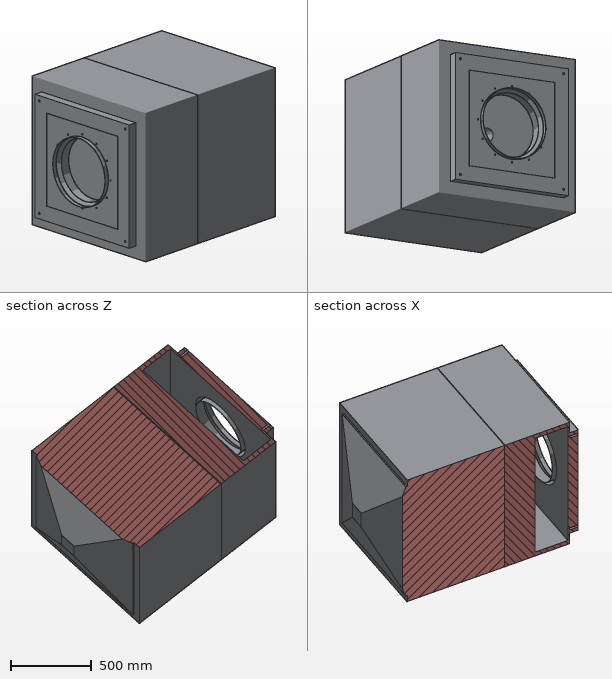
import cadquery as cq

housing_width = 980.0
front_length = 460.0
gap = 3.0
rear_length = 690.0
edge_radius = 3.0

chamber_width = 910.0
chamber_front_wall = 14.0
chamber_floor_depth = 244.0
dimple_radius = 42.0

base_width = 810.0
base_thickness = 60.0
base_hole_pitch = 739.0
base_hole_diameter = 13.0

sheet = 2.0
inlet_width = 611.0
collar_radius = 225.0
collar_length = 29.0
cone_depth = 24.0
throat_radius = 203.0
nozzle_length = 121.0
screw_count = 12
screw_circle_radius = 244.0
screw_diameter = 8.0

hood_rim_width = 878.0
hood_rim_height = 10.0
hood_top_width = 111.0
hood_height = 150.0

total_length = collar_length + base_thickness + front_length + gap + rear_length + hood_height
collar_front = -total_length / 2
base_front = collar_front + collar_length
housing_front = base_front + base_thickness
chamber_front = housing_front + chamber_front_wall
chamber_floor = housing_front + chamber_floor_depth
seam_front = housing_front + front_length
seam_back = seam_front + gap
housing_back = seam_back + rear_length
cone_front = base_front + sheet
cone_back = cone_front + cone_depth
nozzle_back = collar_front + nozzle_length


def section(y):
    """Plane across the Y axis, with X to the right, Z up and its normal toward -Y."""
    return cq.Workplane("XZ", origin=(0, y, 0))


def square_block(width, y_front, y_back):
    return section(y_back).rect(width, width).extrude(y_back - y_front)


def nozzle_shape(inset):
    """Solid of revolution about Y, lying inside the nozzle's outer surface by the inset."""
    collar = collar_radius - inset
    throat = throat_radius + sheet - inset
    return (
        cq.Workplane("XY")
        .moveTo(0, collar_front)
        .lineTo(collar, collar_front)
        .lineTo(collar, cone_front)
        .lineTo(throat, cone_back)
        .lineTo(throat, nozzle_back)
        .lineTo(0, nozzle_back)
        .close()
        .revolve(360, (0, 0, 0), (0, 1, 0))
    )


def make_rear_housing():
    box = square_block(housing_width, seam_back, housing_back)
    box = box.edges("|Y").fillet(edge_radius)
    rim_back = housing_back + hood_rim_height
    rim = square_block(hood_rim_width, housing_back, rim_back)
    slope = (
        section(rim_back)
        .rect(hood_rim_width, hood_rim_width)
        .workplane(offset=hood_rim_height - hood_height)
        .rect(hood_top_width, hood_top_width)
        .loft(ruled=True)
    )
    return box.union(rim).union(slope)


def make_front_housing():
    box = square_block(housing_width, housing_front, seam_front)
    box = box.edges("|Y or <Y").fillet(edge_radius)
    base = square_block(base_width, base_front, housing_front)
    corner_holes = (
        section(base_front)
        .rect(base_hole_pitch, base_hole_pitch, forConstruction=True)
        .vertices()
        .circle(base_hole_diameter / 2)
        .extrude(-base_thickness)
    )
    plate_recess = square_block(inlet_width, base_front, base_front + sheet)
    chamber = square_block(chamber_width, chamber_front, chamber_floor)
    inlet_opening = section(chamber_front).circle(collar_radius).extrude(chamber_front - base_front)
    dimple = cq.Workplane("XY").sphere(dimple_radius).translate((0, chamber_floor, 0))
    housing = box.union(base)
    for opening in (corner_holes, plate_recess, inlet_opening, chamber, dimple):
        housing = housing.cut(opening)
    return housing


def make_inlet():
    plate = square_block(inlet_width, base_front, base_front + sheet)
    screw_holes = (
        section(base_front)
        .polarArray(screw_circle_radius, 0, 360, screw_count)
        .circle(screw_diameter / 2)
        .extrude(-sheet)
    )
    return plate.union(nozzle_shape(0)).cut(nozzle_shape(sheet)).cut(screw_holes)


rear_housing = make_rear_housing()
front_housing = make_front_housing()
inlet = make_inlet()

result = cq.Compound.makeCompound([rear_housing.val(), front_housing.val(), inlet.val()])